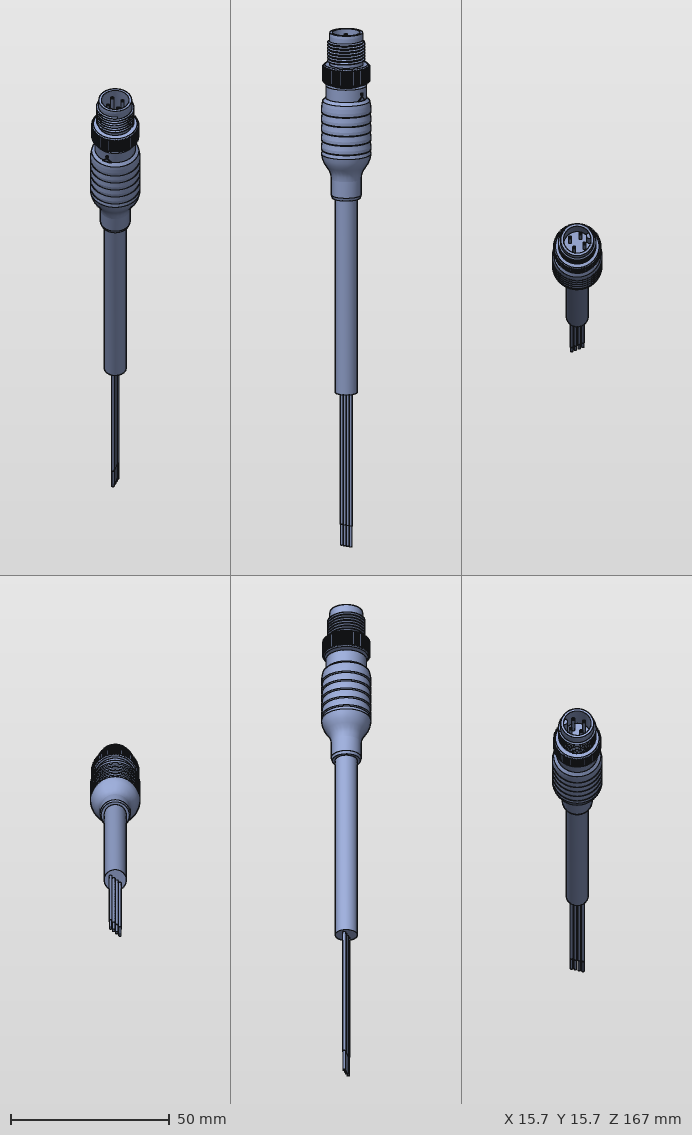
import cadquery as cq
import math

LENGTH = 167.0

NOSE_DIAMETER = 10.7
NOSE_CHAMFER_WIDTH = 0.2
NOSE_CHAMFER_HEIGHT = 1.0
BORE_DIAMETER = 8.7
BORE_DEPTH = 8.4

THREAD_DIAMETER = 11.9
THREAD_PITCH = 1.0
THREAD_TOP = 2.7
THREAD_BOTTOM = 9.5
THREAD_ROOT_OVERLAP = 0.08
THREAD_BASE_FRACTION = 0.9

PIN_DIAMETER = 1.0
PIN_TIP_CHAMFER = 0.25
PIN_SPACING = 3.5
PIN_RECESS = 1.0
KEY_WIDTH = 2.0
KEY_REACH = 1.2
KEY_RECESS = 1.0

NUT_DIAMETER = 15.0
NUT_TOP = 10.4
NUT_BOTTOM = 16.2
NUT_CHAMFER = 0.7
KNURL_COUNT = 84
KNURL_DEPTH = 0.3
NECK_DIAMETER = 8.7

COLLAR_TOP = 17.2
COLLAR_BOTTOM = 21.2
COLLAR_DIAMETER = 12.9
SHOULDER_DIAMETER = 14.9
SHOULDER_DEPTH = 22.2
CROWN_DIAMETER = 15.4
CROWN_DEPTH = 23.4
GRIP_DIAMETER = 15.7
FIRST_STEP = 25.9
LAST_STEP = 38.1
STEP_COUNT = 5
STEP_INSET = 0.3
STEP_SLANT = 0.3
RIB_LAND = 1.2
GRIP_BOTTOM = 39.5
FLARE_MID_DIAMETER = 14.9
FLARE_MID_DEPTH = 41.5
FLARE_DIAMETER = 12.4
FLARE_DEPTH = 43.6
SLEEVE_DIAMETER = 9.5
SLEEVE_TOP = 47.6
SLEEVE_BOTTOM = 53.8
SLEEVE_TAPER_HEIGHT = 1.0
SLEEVE_TAPER_WIDTH = 0.3

ARROW_TIP = 19.7
ARROW_WIDTH = 3.0
DOT_DEPTH = 19.0
DOT_DIAMETER = 0.8
MARK_HEIGHT = 0.3

CABLE_DIAMETER = 7.0
CABLE_END = 117.1
WIRE_COUNT = 4
WIRE_DIAMETER = 1.0
WIRE_SPACING = 1.25
STRAND_DIAMETER = 0.8
STRIP_DEPTH = 160.2
WIRE_EMBED = 1.7


def height(depth):
    """Z of a level at the given depth below the mating face."""
    return LENGTH - depth


def cylinder(diameter, top, bottom, x=0, y=0):
    """Vertical cylinder between two depths."""
    base = cq.Workplane("XY", origin=(x, y, height(bottom)))
    return base.circle(diameter / 2).extrude(bottom - top)


def make_shell():
    shell = cylinder(NOSE_DIAMETER, 0, NUT_TOP + NUT_CHAMFER)
    shell = shell.faces(">Z").chamfer(NOSE_CHAMFER_HEIGHT, NOSE_CHAMFER_WIDTH)
    return shell.cut(cylinder(BORE_DIAMETER, 0, BORE_DEPTH))


def make_thread():
    """Right-handed V ridge that overlaps the shell surface slightly."""
    root = NOSE_DIAMETER / 2 - THREAD_ROOT_OVERLAP
    crest = THREAD_DIAMETER / 2
    half_base = THREAD_PITCH * THREAD_BASE_FRACTION / 2
    start = height(THREAD_BOTTOM)
    path = cq.Wire.makeHelix(THREAD_PITCH, THREAD_BOTTOM - THREAD_TOP, root, center=cq.Vector(0, 0, start))
    ridge = cq.Workplane("XZ").polyline([
        (root, start - half_base),
        (crest, start),
        (root, start + half_base),
    ]).close()
    return ridge.sweep(cq.Workplane(path), isFrenet=True)


def make_pins():
    pins = cq.Workplane("XY")
    for x in (-PIN_SPACING / 2, PIN_SPACING / 2):
        for y in (-PIN_SPACING / 2, PIN_SPACING / 2):
            pin = cylinder(PIN_DIAMETER, PIN_RECESS, NUT_TOP, x, y)
            pins = pins.add(pin.faces(">Z").chamfer(PIN_TIP_CHAMFER))
    return pins.combine()


def make_key():
    """Round-nosed rib that stands inward from the -Y side of the bore."""
    nose_y = -BORE_DIAMETER / 2 + KEY_REACH - KEY_WIDTH / 2
    wall_y = -(BORE_DIAMETER + NOSE_DIAMETER) / 4
    base = cq.Workplane("XY", origin=(0, 0, height(NUT_TOP)))
    outline = (
        base.moveTo(-KEY_WIDTH / 2, wall_y)
        .lineTo(KEY_WIDTH / 2, wall_y)
        .lineTo(KEY_WIDTH / 2, nose_y)
        .threePointArc((0, nose_y + KEY_WIDTH / 2), (-KEY_WIDTH / 2, nose_y))
        .close()
    )
    return outline.extrude(NUT_TOP - KEY_RECESS)


def make_nut():
    """Chamfered nut with V-shaped knurl grooves along its axis."""
    crest = NUT_DIAMETER / 2
    outline = []
    for index in range(2 * KNURL_COUNT):
        radius = crest if index % 2 == 0 else crest - KNURL_DEPTH
        angle = math.pi * index / KNURL_COUNT
        outline.append((radius * math.cos(angle), radius * math.sin(angle)))
    base = cq.Workplane("XY", origin=(0, 0, height(NUT_BOTTOM)))
    knurled = base.polyline(outline).close().extrude(NUT_BOTTOM - NUT_TOP)
    envelope = cylinder(NUT_DIAMETER, NUT_TOP, NUT_BOTTOM).faces("<Z or >Z").chamfer(NUT_CHAMFER)
    return knurled.intersect(envelope)


def make_grip():
    """Revolved grip: collar, saw-tooth ribs, flare and sleeve."""
    grip = GRIP_DIAMETER / 2
    sleeve = SLEEVE_DIAMETER / 2
    step_pitch = (LAST_STEP - FIRST_STEP) / (STEP_COUNT - 1)
    profile = (
        cq.Workplane("XZ")
        .moveTo(0, height(COLLAR_TOP))
        .lineTo(COLLAR_DIAMETER / 2, height(COLLAR_TOP))
        .lineTo(COLLAR_DIAMETER / 2, height(COLLAR_BOTTOM))
        .lineTo(SHOULDER_DIAMETER / 2, height(SHOULDER_DEPTH))
        .lineTo(CROWN_DIAMETER / 2, height(CROWN_DEPTH))
    )
    for index in range(STEP_COUNT):
        step = FIRST_STEP + index * step_pitch
        profile = (
            profile.lineTo(grip, height(step - RIB_LAND))
            .lineTo(grip, height(step - STEP_SLANT / 2))
            .lineTo(grip - STEP_INSET, height(step + STEP_SLANT / 2))
        )
    profile = (
        profile.lineTo(grip, height(GRIP_BOTTOM))
        .threePointArc(
            (FLARE_MID_DIAMETER / 2, height(FLARE_MID_DEPTH)),
            (FLARE_DIAMETER / 2, height(FLARE_DEPTH)),
        )
        .tangentArcPoint((sleeve, height(SLEEVE_TOP)), relative=False)
        .lineTo(sleeve, height(SLEEVE_BOTTOM - SLEEVE_TAPER_HEIGHT))
        .lineTo(sleeve - SLEEVE_TAPER_WIDTH, height(SLEEVE_BOTTOM))
        .lineTo(0, height(SLEEVE_BOTTOM))
        .close()
    )
    return profile.revolve(360, (0, 0, 0), (0, 1, 0))


def make_orientation_mark():
    """Arrowhead with a dot at its tip, raised evenly above the collar."""
    arrow = cq.Workplane("XZ").polyline([
        (0, height(ARROW_TIP)),
        (-ARROW_WIDTH / 2, height(COLLAR_BOTTOM)),
        (ARROW_WIDTH / 2, height(COLLAR_BOTTOM)),
    ]).close()
    dot = cq.Workplane("XZ").center(0, height(DOT_DEPTH)).circle(DOT_DIAMETER / 2)
    mark = arrow.extrude(GRIP_DIAMETER / 2).union(dot.extrude(GRIP_DIAMETER / 2))
    skin = cylinder(COLLAR_DIAMETER + 2 * MARK_HEIGHT, COLLAR_TOP, COLLAR_BOTTOM)
    return mark.intersect(skin)


def make_wires():
    """Row of insulated wires along Y with bare strands at their ends."""
    wires = cq.Workplane("XY")
    for index in range(WIRE_COUNT):
        y = (index - (WIRE_COUNT - 1) / 2) * WIRE_SPACING
        wire = cylinder(WIRE_DIAMETER, CABLE_END - WIRE_EMBED, STRIP_DEPTH, 0, y)
        wires = wires.add(wire.union(cylinder(STRAND_DIAMETER, STRIP_DEPTH, LENGTH, 0, y)))
    return wires.combine()


result = make_shell().union(make_thread())
result = result.union(make_pins()).union(make_key())
result = result.union(cylinder(NECK_DIAMETER, NUT_TOP, COLLAR_BOTTOM))
result = result.union(make_nut())
result = result.union(make_grip()).union(make_orientation_mark())
result = result.union(cylinder(CABLE_DIAMETER, GRIP_BOTTOM, CABLE_END))
result = result.union(make_wires())